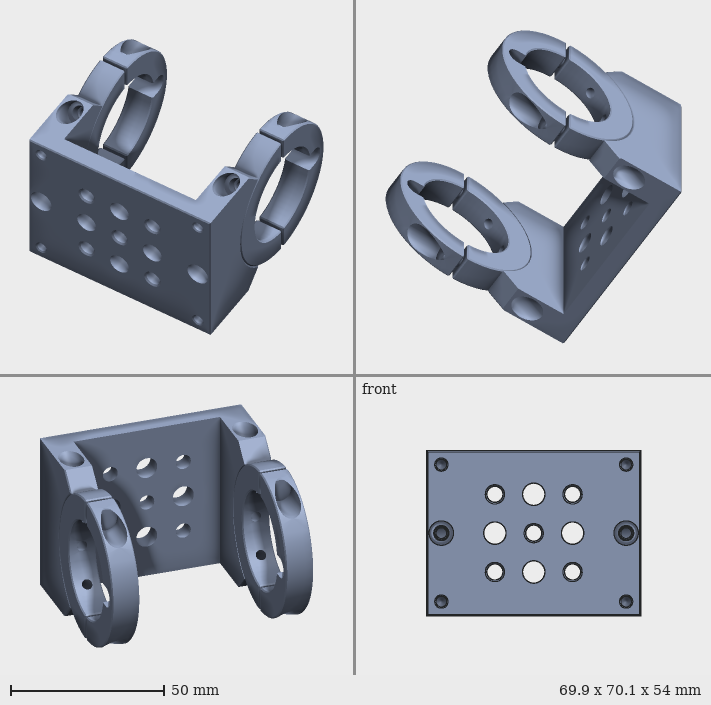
import cadquery as cq
import math

width = 69.9
length = 70.1
height = 54.0
plate_thickness = 6.45
arm_thickness = 9.5
edge_chamfer = 0.4

ring_radius = 25.6
bore_radius = 16.75
ring_y = length - ring_radius
gap = 1.2
arm_x = (width - arm_thickness) / 2
shoulder_y = 24.2

slot_width = 7.0
slot_end_y = 67.65

screw_diameter = 4.35
screw_z = 21.0
screw_head_diameter = 7.7
screw_head_height = 4.0
screw_head_top_y = 50.75
screw_pocket_floor_y = screw_head_top_y - screw_head_height
screw_embed = 1.4

counterbore_diameter = 8.0
counterbore_floor_radius = 29.85
clearance_diameter = 5.0
radial_hole_angles = (-45, 0, 45)

thread_diameter = 3.5
thread_countersink_diameter = 4.35
countersink_angle = 90

grid_pitch = 12.7
large_hole_diameter = 7.2
small_hole_diameter = 5.2
small_countersink_diameter = 6.3
corner_z = 22.35
corner_hole_depth = 9.8
drill_point_angle = 118

overshoot = 7.0
Y_AXIS = cq.Vector(0, 1, 0)


def cylinder(diameter, depth, start, direction=Y_AXIS):
    """Solid cylinder of the given depth that begins at start."""
    return cq.Workplane(cq.Solid.makeCylinder(diameter / 2, depth, start, direction))


def cone(large_diameter, small_diameter, angle, start, direction=Y_AXIS):
    """Cone along the direction that narrows at the given included angle."""
    depth = (large_diameter - small_diameter) / 2 / math.tan(math.radians(angle / 2))
    return cq.Workplane(cq.Solid.makeCone(large_diameter / 2, small_diameter / 2, depth, start, direction))


def arm_plane(x_centre):
    """Workplane at the low-X face of an arm; local axes are Y and Z."""
    return cq.Workplane("YZ", origin=(x_centre - arm_thickness / 2, 0, 0))


def half_ring(x_centre, side):
    """Half of a clamp ring with chamfered edges; side is +1 for rear, -1 for front."""
    face_y = ring_y + side * gap / 2
    keep = cq.Workplane("XY").box(width * 2, ring_radius * 2, height * 2)
    keep = keep.translate((0, face_y + side * ring_radius, 0))
    ring = arm_plane(x_centre).center(ring_y, 0).circle(ring_radius).circle(bore_radius)
    return ring.extrude(arm_thickness).intersect(keep).edges().chamfer(edge_chamfer)


def plate():
    """Front plate with its outer front edges chamfered."""
    body = cq.Workplane("XY").box(width, plate_thickness, height).translate((0, plate_thickness / 2, 0))
    return body.faces("<Y").edges().chamfer(edge_chamfer)


def arm_block(x_centre):
    """Block that carries a ring; its sloped shoulders and ring seat are chamfered outside."""
    top = height / 2
    offset = ring_y - shoulder_y - top
    seat_z = (-offset + math.sqrt(2 * ring_radius**2 - offset**2)) / 2
    seat_y = shoulder_y + top - seat_z
    block = (
        arm_plane(x_centre)
        .moveTo(plate_thickness / 2, -top)
        .lineTo(shoulder_y, -top)
        .lineTo(seat_y, -seat_z)
        .threePointArc((ring_y - ring_radius, 0), (seat_y, seat_z))
        .lineTo(shoulder_y, top)
        .lineTo(plate_thickness / 2, top)
        .close()
        .extrude(arm_thickness)
    )
    outer_face = ">X" if x_centre > 0 else "<X"
    return block.faces(outer_face).edges("not(|Y or |Z)").chamfer(edge_chamfer)


def slot_cutter(x_centre):
    """Round-ended slot that opens into the bore."""
    end_centre_y = slot_end_y - slot_width / 2
    slot_length = end_centre_y - ring_y
    straight = cq.Workplane("XY").box(arm_thickness, slot_length, slot_width)
    straight = straight.translate((x_centre, ring_y + slot_length / 2, 0))
    rounded = arm_plane(x_centre).center(end_centre_y, 0).circle(slot_width / 2).extrude(arm_thickness)
    return straight.union(rounded)


def radial_hole(x_centre, angle):
    """Counterbored hole aimed at the ring centre, tapped through the front half ring."""
    tilt = math.radians(angle)
    outward = cq.Vector(0, -math.cos(tilt), math.sin(tilt))
    centre = cq.Vector(x_centre, ring_y, 0)
    reach = ring_y + overshoot
    thread = cylinder(thread_diameter, reach - ring_radius / 2, centre + outward * (ring_radius / 2), outward)
    clearance = cylinder(clearance_diameter, reach - ring_radius, centre + outward * ring_radius, outward)
    counterbore = cylinder(
        counterbore_diameter,
        reach - counterbore_floor_radius,
        centre + outward * counterbore_floor_radius,
        outward,
    )
    seat = centre + outward * ring_radius
    mouth = cone(thread_countersink_diameter, thread_diameter, countersink_angle, seat, outward * -1)
    return thread.union(mouth).union(clearance).union(counterbore)


def arm(x_centre):
    """Arm block with a split clamp ring, its slot, screws and screw holes."""
    rear = half_ring(x_centre, 1).cut(slot_cutter(x_centre))
    body = arm_block(x_centre).union(half_ring(x_centre, -1)).union(rear)
    for z in (-screw_z, screw_z):
        pocket = cylinder(counterbore_diameter, ring_radius, cq.Vector(x_centre, screw_pocket_floor_y, z))
        shank_start = cq.Vector(x_centre, ring_y - gap / 2 - screw_embed, z)
        shank = cylinder(screw_diameter, gap + 2 * screw_embed, shank_start)
        head = cylinder(screw_head_diameter, screw_head_height, cq.Vector(x_centre, screw_pocket_floor_y, z))
        body = body.cut(pocket).union(shank).union(head)
    return body


def countersunk_hole(x, z, hole_diameter, countersink_diameter, depth):
    """Hole into the front of the plate with a countersunk mouth."""
    hole = cylinder(hole_diameter, depth, cq.Vector(x, 0, z))
    return hole.union(cone(countersink_diameter, hole_diameter, countersink_angle, cq.Vector(x, 0, z)))


result = plate()
for x in (-arm_x, arm_x):
    result = result.union(arm(x))

for x in (-arm_x, arm_x):
    for angle in radial_hole_angles:
        result = result.cut(radial_hole(x, angle))

for column in (-1, 0, 1):
    for row in (-1, 0, 1):
        x = column * grid_pitch
        z = row * grid_pitch
        if (column + row) % 2:
            hole = cylinder(large_hole_diameter, plate_thickness, cq.Vector(x, 0, z))
        else:
            hole = countersunk_hole(x, z, small_hole_diameter, small_countersink_diameter, plate_thickness)
        result = result.cut(hole)

for x in (-arm_x, arm_x):
    for z in (-corner_z, corner_z):
        hole = countersunk_hole(x, z, thread_diameter, thread_countersink_diameter, corner_hole_depth)
        point = cone(thread_diameter, 0, drill_point_angle, cq.Vector(x, corner_hole_depth, z))
        result = result.cut(hole).cut(point)